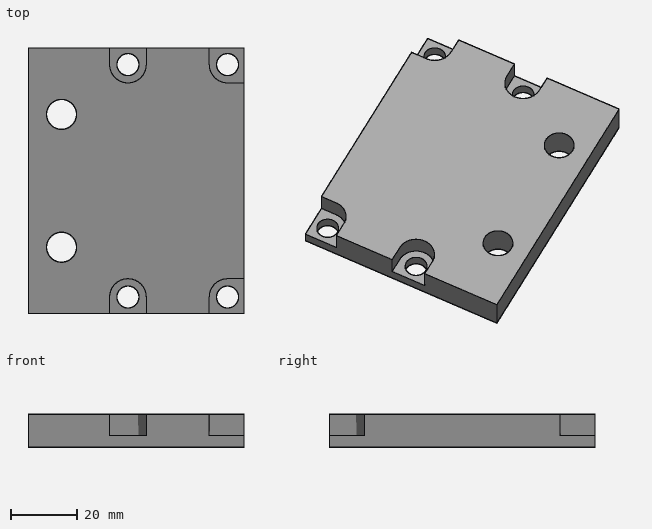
import cadquery as cq

length = 80.0
thickness = 10.0
edge_margin = length / 16
screw_columns = (30.0, 60.0)
width = screw_columns[-1] + edge_margin
screw_y = length / 2 - edge_margin

screw_diameter = 6.6
recess_radius = 5.5
recess_depth = 6.4
recess_floor = thickness - recess_depth

large_hole_diameter = 9.0
large_hole_x = 10.0
large_hole_y = length / 4


def block(x_min, x_max, y_min, y_max, z_min, z_max):
    """Box between the given limits."""
    size = (x_max - x_min, y_max - y_min, z_max - z_min)
    return cq.Workplane("XY").box(*size, centered=False).translate((x_min, y_min, z_min))


def through_hole(x, y, diameter):
    """Vertical cutter through the whole plate."""
    return cq.Workplane("XY").center(x, y).circle(diameter / 2).extrude(thickness)


def screw_recess(x, open_to_right):
    """Round recess at the +Y edge, open to that edge and optionally to the right edge."""
    round_end = (
        cq.Workplane("XY", origin=(x, screw_y, recess_floor))
        .circle(recess_radius)
        .extrude(recess_depth)
    )
    edge_opening = block(
        x - recess_radius, x + recess_radius, screw_y, length / 2, recess_floor, thickness
    )
    recess = round_end.union(edge_opening)
    if open_to_right:
        corner_opening = block(
            x, width, screw_y - recess_radius, length / 2, recess_floor, thickness
        )
        recess = recess.union(corner_opening)
    return recess


result = block(0, width, -length / 2, length / 2, 0, thickness)

for side in (-1, 1):
    result = result.cut(through_hole(large_hole_x, side * large_hole_y, large_hole_diameter))

for column_x in screw_columns:
    recess = screw_recess(column_x, open_to_right=column_x == screw_columns[-1])
    result = result.cut(recess).cut(recess.mirror("XZ"))
    for side in (-1, 1):
        result = result.cut(through_hole(column_x, side * screw_y, screw_diameter))